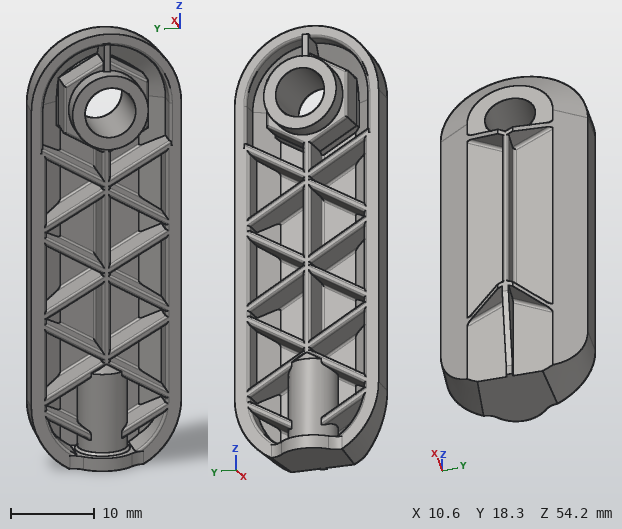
import cadquery as cq
import math


length = 54.15
width = 18.3
rim_radius = width / 2
head_z = length - rim_radius
foot_arc_z = 7.95
shoulder_x = 3.45
plateau_x = 5.7
ridge_x = 8.25
ridge_half_width = 0.9
side_draft = 2.5
shoulder_half_width = rim_radius - shoulder_x * math.tan(math.radians(side_draft))
roof_run = (shoulder_half_width - ridge_half_width) / (ridge_x - shoulder_x)
roof_angle = math.degrees(math.atan(roof_run))

shell = 1.7
floor_x = plateau_x - shell
cavity_half_width = 7.25
head_cavity_radius = 7.7
mouth_round = 0.3
foot_wall = 1.6

rib_width = 1.0
rib_round = 0.25
rib_tilt = 60.0
rib_slope = 1 / math.tan(math.radians(rib_tilt))
rib_root = 0.15
first_node_z = 2.4
node_pitch = 10.85
node_count = 4
chevron_offset = 0.4
rib_reach = 7.9
top_rib_width = 0.75
top_rib_rise = 0.5
top_rib_end_z = 52.95

hex_apothem = 5.15
hex_flare = 0.3
hex_flare_height = 0.65
boss_radius = 4.6
boss_rise = 2.3
bore_radius = 3.1

sleeve_axis_x = 2.35
sleeve_radius = 3.0
sleeve_top_z = 11.75
sleeve_cone_height = 1.9
sleeve_cone_top_radius = 1.8
sleeve_flare = 0.3
lip_half_width = 4.5
lip_crest_half_width = 3.0
lip_rise = 1.85

web_width = 0.75
v_wall_width = 0.65
upper_v_z = 39.5
lower_v_z = 13.7
web_round = 0.2
web_fillet = 0.4
fin_top_z = 12.25
fin_foot_z = 1.5
fin_foot_x = 6.05


def slot(half_width, bottom_z, top_z):
    """Closed outline in YZ with round ends centred at bottom_z and top_z."""
    return (
        cq.Workplane("YZ")
        .moveTo(-half_width, bottom_z)
        .lineTo(-half_width, top_z)
        .threePointArc((0, top_z + half_width), (half_width, top_z))
        .lineTo(half_width, bottom_z)
        .threePointArc((0, bottom_z - half_width), (-half_width, bottom_z))
        .close()
    )


def block(x_min, x_max, y_size, z_min, z_max):
    """Box centred on Y = 0."""
    return cq.Workplane("XY").box(
        x_max - x_min, y_size, z_max - z_min, centered=(False, True, False)
    ).translate((x_min, 0, z_min))


def roof_half_width(x):
    return ridge_half_width + (ridge_x - x) * roof_run


def sloped_roof(x_start, x_end, half_width):
    """Roof with a conical head; it runs on straight past the foot."""
    overrun = 4 * rim_radius
    return (
        slot(half_width, -overrun, head_z)
        .extrude(x_end - x_start, taper=roof_angle)
        .translate((x_start, 0, 0))
    )


def rib_bar(top_x, floor_x, width, top_round, floor_fillet, z_min, z_max):
    """Straight rib along Z with rounded top edges and a fillet along each side of its floor."""
    inward = math.copysign(1, floor_x - top_x)
    half = width / 2
    arc_mid = 1 - math.sqrt(0.5)
    profile = cq.Workplane("XY", origin=(0, 0, z_min)).moveTo(top_x, 0)
    if top_round > 0:
        profile = profile.lineTo(top_x, half - top_round).threePointArc(
            (top_x + inward * top_round * arc_mid, half - top_round * arc_mid),
            (top_x + inward * top_round, half),
        )
    else:
        profile = profile.lineTo(top_x, half)
    return (
        profile.lineTo(floor_x - inward * floor_fillet, half)
        .threePointArc(
            (floor_x - inward * floor_fillet * arc_mid, half + floor_fillet * arc_mid),
            (floor_x, half + floor_fillet),
        )
        .lineTo(floor_x + inward * rib_root, half + floor_fillet)
        .lineTo(floor_x + inward * rib_root, 0)
        .close()
        .extrude(z_max - z_min)
        .mirror("XZ", union=True)
    )


def chevron(apex_z, bar, opens_up):
    """Two copies of a rib bar, tilted to either side and mitred on Y = 0."""
    tilt = rib_tilt if opens_up else 180 - rib_tilt
    arm = bar.rotate((0, 0, 0), (1, 0, 0), -tilt)
    positive_y = cq.Workplane("XY").box(length, length, length).translate((0, length / 2, 0))
    arm = arm.intersect(positive_y).translate((0, 0, apex_z))
    return arm.union(arm.mirror("XZ"))


def inside_shell(x_start):
    """Space whose sloped sides lie within the thickness of the shell."""
    return sloped_roof(x_start, floor_x + rib_root, roof_half_width(x_start) - shell)


def outer_body():
    envelope = slot(rim_radius, foot_arc_z, head_z).extrude(ridge_x, taper=side_draft)
    above_foot = block(0, ridge_x, width, 0, length)
    base = envelope.intersect(block(0, shoulder_x, width, 0, length))
    roof = sloped_roof(shoulder_x, plateau_x, shoulder_half_width)
    return base.union(roof.intersect(envelope).intersect(above_foot))


def cavity():
    top_chevron_z = first_node_z + (node_count - 1) * node_pitch + chevron_offset
    step_z = top_chevron_z + head_cavity_radius * rib_slope
    lower = slot(cavity_half_width, foot_arc_z, step_z).extrude(floor_x)
    lower = lower.intersect(block(0, floor_x, width, foot_wall, step_z))
    upper = slot(head_cavity_radius, step_z, head_z).extrude(floor_x)
    upper = upper.intersect(block(0, floor_x, width, step_z, length))
    floor_half_width = roof_half_width(plateau_x) - shell * math.tan(math.radians((90 - roof_angle) / 2))
    inner_roof = sloped_roof(0, floor_x, floor_half_width + floor_x * roof_run)
    return lower.union(upper).intersect(inner_roof)


def ribs():
    def bar(z_min, z_max):
        return rib_bar(0, floor_x, rib_width, rib_round, rib_round, z_min, z_max)

    web = bar(first_node_z, head_z)
    arm = bar(-width, width)
    for i in range(node_count):
        node_z = first_node_z + i * node_pitch
        web = web.union(chevron(node_z + chevron_offset, arm, opens_up=True))
        if i > 0:
            web = web.union(chevron(node_z - chevron_offset, arm, opens_up=False))
    reach = slot(rib_reach, foot_arc_z, head_z).extrude(floor_x + rib_root)
    return web.intersect(reach).intersect(inside_shell(0))


def hexagon(x, apothem):
    """Hexagon around the bore axis with corners at its top and bottom."""
    corner_diameter = 2 * apothem / math.cos(math.pi / 6)
    return (
        cq.Workplane("YZ", origin=(x, 0, head_z))
        .transformed(rotate=(0, 0, 90))
        .polygon(6, corner_diameter)
    )


def hex_base():
    block_part = hexagon(0, hex_apothem).extrude(floor_x + rib_root)
    block_part = block_part.faces("<X").edges().fillet(rib_round)
    flare_angle = math.degrees(math.atan(hex_flare / hex_flare_height))
    flare = hexagon(floor_x, hex_apothem + hex_flare).extrude(-hex_flare_height, taper=flare_angle)
    return block_part.union(flare)


def round_mouth(body):
    """Round the cavity mouth except along its edges that run straight across in Y."""
    mouth = body.faces("<X").val().innerWires()[0].Edges()
    edges = [edge for edge in mouth if edge.BoundingBox().zlen > mouth_round]
    return body.newObject(edges).fillet(mouth_round)


def top_rib():
    rib = rib_bar(-top_rib_rise, floor_x, top_rib_width, 0, rib_round, head_z, top_rib_end_z)
    return rib.intersect(inside_shell(-top_rib_rise))


def sleeve():
    barrel = (
        cq.Workplane("XY", origin=(sleeve_axis_x, 0, 0)).circle(sleeve_radius).extrude(sleeve_top_z)
    )
    tip = (
        cq.Workplane("XY", origin=(sleeve_axis_x, 0, sleeve_top_z))
        .circle(sleeve_radius)
        .workplane(offset=sleeve_cone_height)
        .circle(sleeve_cone_top_radius)
        .loft()
    )
    apex_z = first_node_z + node_pitch - chevron_offset
    side_z = apex_z - rim_radius * rib_slope
    below_ribs = (
        cq.Workplane("YZ", origin=(-ridge_x, 0, 0))
        .polyline([(-rim_radius, 0), (rim_radius, 0), (rim_radius, side_z), (0, apex_z), (-rim_radius, side_z)])
        .close()
        .extrude(2 * ridge_x)
    )
    flare = (
        cq.Workplane("XY", origin=(sleeve_axis_x, 0, foot_wall))
        .circle(sleeve_radius + sleeve_flare)
        .workplane(offset=sleeve_flare)
        .circle(sleeve_radius)
        .loft()
    )
    return barrel.union(flare).union(tip).intersect(below_ribs)


def foot_lip():
    """Round crest blended into the rim face by a tangent hollow on each side."""
    sweep = 2 * math.atan(lip_rise / lip_half_width)
    crest_radius = lip_crest_half_width / math.sin(sweep)
    hollow_radius = (lip_half_width - lip_crest_half_width) / math.sin(sweep)
    crest_edge_x = -lip_rise + crest_radius * (1 - math.cos(sweep))
    hollow_x = -hollow_radius * (1 - math.cos(sweep / 2))
    hollow_y = lip_half_width - hollow_radius * math.sin(sweep / 2)
    return (
        cq.Workplane("XY")
        .moveTo(0, -lip_half_width)
        .threePointArc((hollow_x, -hollow_y), (crest_edge_x, -lip_crest_half_width))
        .threePointArc((-lip_rise, 0), (crest_edge_x, lip_crest_half_width))
        .threePointArc((hollow_x, hollow_y), (0, lip_half_width))
        .close()
        .extrude(foot_wall)
    )


def outer_ridge():
    tent_x = plateau_x - rib_root
    tent_half_width = roof_half_width(tent_x)
    tent = (
        cq.Workplane("XY")
        .moveTo(tent_x, -tent_half_width)
        .lineTo(ridge_x, -ridge_half_width)
        .lineTo(ridge_x, ridge_half_width)
        .lineTo(tent_x, tent_half_width)
        .close()
        .extrude(length)
    )
    wall = rib_bar(ridge_x, plateau_x, v_wall_width, 0, web_fillet, -width, width)
    walls = chevron(upper_v_z, wall, opens_up=True).union(chevron(lower_v_z, wall, opens_up=False))
    web = rib_bar(ridge_x, plateau_x, web_width, web_round, web_fillet, lower_v_z, upper_v_z)
    fin = (
        cq.Workplane("XZ")
        .moveTo(plateau_x, 0)
        .lineTo(fin_foot_x, 0)
        .lineTo(fin_foot_x, fin_foot_z)
        .lineTo(ridge_x, fin_top_z)
        .lineTo(ridge_x, lower_v_z)
        .lineTo(plateau_x, lower_v_z)
        .close()
        .extrude(web_width / 2, both=True)
    )
    return walls.union(web).union(fin).intersect(tent)


def boss():
    return (
        cq.Workplane("YZ", origin=(-boss_rise, 0, head_z)).circle(boss_radius).extrude(boss_rise + floor_x)
    )


def bore():
    return (
        cq.Workplane("YZ", origin=(-boss_rise, 0, head_z)).circle(bore_radius).extrude(boss_rise + ridge_x)
    )


body = round_mouth(outer_body().cut(cavity()))
body = body.union(ribs()).union(hex_base()).union(top_rib())
body = body.union(sleeve()).union(foot_lip())
body = body.union(outer_ridge()).union(boss())
result = body.cut(bore())